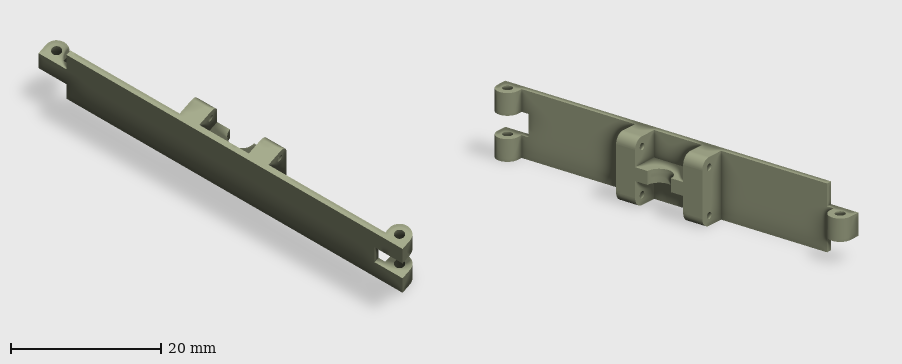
import cadquery as cq

length = 59.5
height = 10.0
plate_thickness = 0.9

knuckle_radius = 1.7
hinge_hole_diameter = 1.5
hinge_reach = 4.6
tongue_height = 3.4

depth = 5.0
mount_center = length / 2 - 0.05
mount_length = 14.5
block_length = 3.2
block_corner_radius = 1.5
block_hole_diameter = 1.0
notch_radius = 1.95
web_height = 2.0


def box_between(x_start, x_end, y_end, box_height):
    """Box from the outer face to y_end, centered on z = 0."""
    return (
        cq.Workplane("XY")
        .box(x_end - x_start, y_end, box_height, centered=(False, False, True))
        .translate((x_start, 0, 0))
    )


def upright_cylinder(x, y, radius):
    """Full-height cylinder along Z."""
    return cq.Workplane("XY", origin=(x, y, -height / 2)).circle(radius).extrude(height)


def knuckle_bar(x):
    """Full-height knuckle with a square foot on the plate and a round crown."""
    foot = box_between(x - knuckle_radius, x + knuckle_radius, knuckle_radius, height)
    return foot.union(upright_cylinder(x, knuckle_radius, knuckle_radius))


def block(x_start):
    """Block with rounded inner edges and a hole concentric with each rounding."""
    body = box_between(x_start, x_start + block_length, depth, height)
    body = body.edges("|X and >Y").fillet(block_corner_radius)
    hole_y = depth - block_corner_radius
    hole_z = height / 2 - block_corner_radius
    holes = (
        cq.Workplane("YZ", origin=(x_start, 0, 0))
        .pushPoints([(hole_y, -hole_z), (hole_y, hole_z)])
        .circle(block_hole_diameter / 2)
        .extrude(block_length)
    )
    return body.cut(holes)


left_pin_x = knuckle_radius
right_pin_x = length - knuckle_radius
result = box_between(0, length, plate_thickness, height)
for pin_x in (left_pin_x, right_pin_x):
    result = result.union(knuckle_bar(pin_x))
    result = result.cut(upright_cylinder(pin_x, knuckle_radius, hinge_hole_diameter / 2))

tongue = box_between(0, hinge_reach, depth, tongue_height)
left_trim = box_between(0, hinge_reach, depth, height).cut(tongue)
right_slot = box_between(length - hinge_reach, length, depth, tongue_height)
result = result.cut(left_trim).cut(right_slot)

mount_start = mount_center - mount_length / 2
mount_end = mount_center + mount_length / 2
web = box_between(mount_start + block_length, mount_end - block_length, depth, web_height)
web = web.cut(upright_cylinder(mount_center, depth, notch_radius))
result = result.union(web)
for block_start in (mount_start, mount_end - block_length):
    result = result.union(block(block_start))